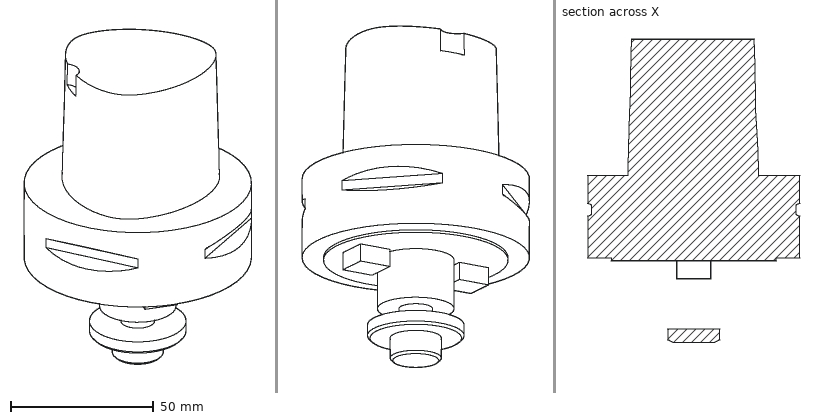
import cadquery as cq
import math

total_height = 115.0
flange_top = 67.0
flange_bottom = 38.0
pad_bottom = 37.0
key_bottom = 30.7
spigot_bottom = 19.1
collar_top = 13.1
collar_bottom = 8.3

flange_diameter = 80.0
pad_diameter = 65.0
spigot_diameter = 27.0
neck_diameter = 12.0
collar_diameter = 34.0
stud_diameter = 18.0
collar_chamfer = 0.9
stud_chamfer = 0.9

shank_base_radius = 27.7
shank_eccentricity = 1.8
shank_taper = 1 / 40
outline_point_count = 36

notch_diameter = 12.0
notch_depth = 8.0
notch_center_y = -28.0

groove_count = 4
groove_center_height = 55.0
groove_floor_width = 3.5
groove_floor_distance = 35.6
groove_side_angle = 30.0

key_width = 12.0
key_inner_x = 14.4
key_outer_x = 26.5


def cylinder(diameter, bottom, top):
    return cq.Workplane("XY").workplane(offset=bottom).circle(diameter / 2).extrude(top - bottom)


def shank_outline(mean_radius, height):
    """Closed curve whose support distance is mean_radius - eccentricity * sin(3 * angle)."""
    points = []
    for index in range(outline_point_count):
        angle = 2 * math.pi * index / outline_point_count
        support = mean_radius - shank_eccentricity * math.sin(3 * angle)
        slope = -3 * shank_eccentricity * math.cos(3 * angle)
        x = support * math.cos(angle) - slope * math.sin(angle)
        y = support * math.sin(angle) + slope * math.cos(angle)
        points.append(cq.Vector(x, y, height))
    return cq.Wire.assembleEdges([cq.Edge.makeSpline(points, periodic=True)])


def make_shank():
    top_radius = shank_base_radius - (total_height - flange_top) * shank_taper
    base_outline = shank_outline(shank_base_radius, flange_top)
    top_outline = shank_outline(top_radius, total_height)
    shank = cq.Workplane(cq.Solid.makeLoft([base_outline, top_outline], True))
    notch = cylinder(notch_diameter, total_height - notch_depth, total_height)
    return shank.cut(notch.translate((0, notch_center_y, 0)))


def make_groove_cutter(angle):
    """Groove with a flat floor and flared sides, straight across the rim of the flange."""
    rim = flange_diameter / 2
    flare = (rim - groove_floor_distance) * math.tan(math.radians(groove_side_angle))
    half_floor = groove_floor_width / 2
    half_mouth = half_floor + flare
    profile = [
        (groove_floor_distance, -half_floor),
        (rim, -half_mouth),
        (rim, half_mouth),
        (groove_floor_distance, half_floor),
    ]
    cutter = cq.Workplane("XZ").polyline(profile).close().extrude(rim, both=True)
    return cutter.translate((0, 0, groove_center_height)).rotate((0, 0, 0), (0, 0, 1), angle)


def make_flange():
    flange = cylinder(flange_diameter, flange_bottom, flange_top)
    angle_step = 360 / groove_count
    for index in range(groove_count):
        flange = flange.cut(make_groove_cutter((index + 0.5) * angle_step))
    return flange.union(cylinder(pad_diameter, pad_bottom, flange_bottom))


def make_keys():
    return (
        cq.Workplane("XY")
        .workplane(offset=key_bottom)
        .pushPoints([(side * (key_inner_x + key_outer_x) / 2, 0) for side in (-1, 1)])
        .rect(key_outer_x - key_inner_x, key_width)
        .extrude(pad_bottom - key_bottom)
    )


def make_spigot_and_screw():
    spigot = cylinder(spigot_diameter, spigot_bottom, pad_bottom)
    neck = cylinder(neck_diameter, collar_top, spigot_bottom)
    collar = cylinder(collar_diameter, collar_bottom, collar_top).faces("<Z").chamfer(collar_chamfer)
    stud = cylinder(stud_diameter, 0, collar_bottom).faces("<Z").chamfer(stud_chamfer)
    return spigot.union(neck).union(collar).union(stud)


result = make_flange().union(make_shank()).union(make_keys()).union(make_spigot_and_screw())